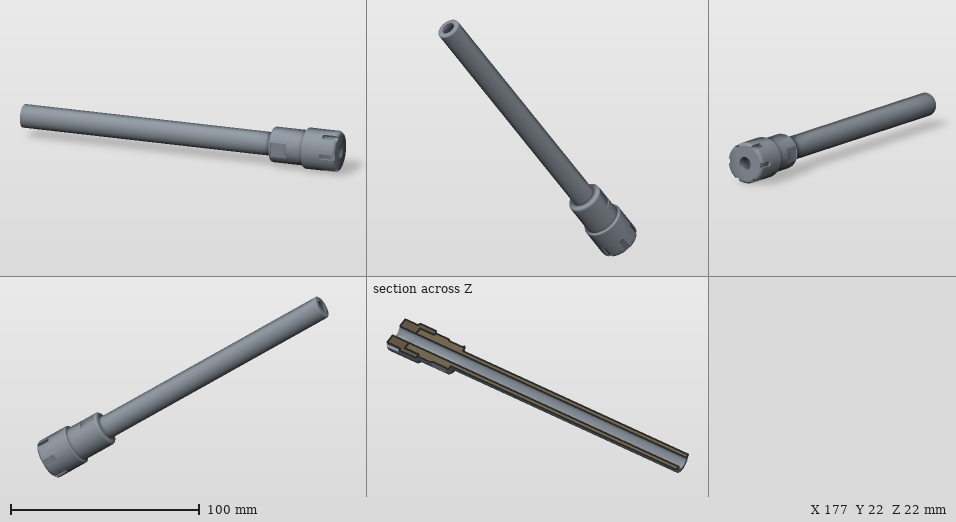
import cadquery as cq

total_length = 177.0
bore_diameter = 7.0

shank_diameter = 12.5
shank_end_fillet = 0.7
collar_start = 139.5
collar_diameter = 19.0
collar_fillet = 1.2

flat_length = 8.9
flat_start = collar_start + collar_fillet
flat_spacing = 17.2

nut_start = 158.3
nut_diameter = 22.0
nut_back_fillet = 0.7
nut_front_fillet = 1.8

spigot_diameter = 16.3
spigot_length = 8.9

slot_count = 6
slot_width = 2.8
slot_length = 8.1
slot_floor_diameter = 19.0
slot_corner_radius = 0.7


def cylinder_along_x(diameter, start, length):
    return cq.Workplane("YZ", origin=(start, 0, 0)).circle(diameter / 2).extrude(length)


def make_holder():
    spigot_end = nut_start + spigot_length
    shank = cylinder_along_x(shank_diameter, 0, collar_start)
    shank = shank.faces("<X").edges().fillet(shank_end_fillet)
    collar = cylinder_along_x(collar_diameter, collar_start, nut_start - collar_start)
    collar = collar.faces("<X").edges().fillet(collar_fillet)
    spigot = cylinder_along_x(spigot_diameter, nut_start, spigot_length)
    body = shank.union(collar).union(spigot)
    for side in (-1, 1):
        flat_cutter = cq.Workplane("XY").box(flat_length, collar_diameter, collar_diameter)
        flat_y = side * (flat_spacing + collar_diameter) / 2
        body = body.cut(flat_cutter.translate((flat_start + flat_length / 2, flat_y, 0)))
    return body.cut(cylinder_along_x(bore_diameter, 0, spigot_end))


def make_slot_cutter():
    """Block for one spanner slot on the +Y side, with its two inner corners rounded."""
    slot_depth = (nut_diameter - slot_floor_diameter) / 2
    cutter_length = 2 * slot_length
    cutter = cq.Workplane("XY").box(cutter_length, 2 * slot_depth, slot_width)
    cutter = cutter.edges("<X and |Y").fillet(slot_corner_radius)
    return cutter.translate((total_length, slot_floor_diameter / 2 + slot_depth, 0))


def make_nut():
    nut = cylinder_along_x(nut_diameter, nut_start, total_length - nut_start)
    nut = nut.faces("<X").edges().fillet(nut_back_fillet)
    nut = nut.faces(">X").edges().fillet(nut_front_fillet)
    nut = nut.cut(cylinder_along_x(spigot_diameter, nut_start, spigot_length))
    nut = nut.cut(cylinder_along_x(bore_diameter, nut_start, total_length - nut_start))
    slot_cutter = make_slot_cutter()
    for index in range(slot_count):
        angle = index * 360 / slot_count
        nut = nut.cut(slot_cutter.rotate((0, 0, 0), (1, 0, 0), angle))
    return nut


holder = make_holder()
nut = make_nut()

result = cq.Compound.makeCompound([holder.val(), nut.val()])